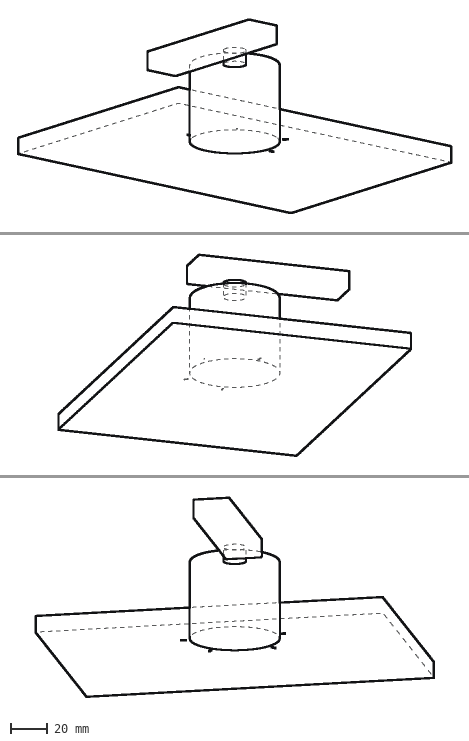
import cadquery as cq

plate_length = 196.85
plate_width = 139.7
plate_thickness = 9.525

dial_diameter = 50.0
dial_height = 44.45
stem_diameter = 12.7

handle_width = 20.64
handle_length = 88.6
handle_back_y = 24.7
handle_thickness = 11.11
overall_height = 73.04

edge_radius = 0.8

mark_angles = (-5, 50, 127, 190)
mark_inner_radius = 27.3
mark_length = 2.7
mark_width = 0.4
mark_depth = 0.25

dial_top = plate_thickness + dial_height
handle_bottom = overall_height - handle_thickness


def make_plate():
    """Plate standing on Z = 0, with its corners and top rim rounded."""
    plate = cq.Workplane("XY").box(plate_length, plate_width, plate_thickness, centered=(True, True, False))
    return plate.edges("|Z or >Z").fillet(edge_radius)


def make_dial():
    """Cylindrical dial with a rounded top rim."""
    dial = cq.Workplane("XY").workplane(offset=plate_thickness).circle(dial_diameter / 2).extrude(dial_height)
    return dial.faces(">Z").edges().fillet(edge_radius)


def make_stem():
    """Short post joining the dial to the handle."""
    stem_height = handle_bottom - dial_top
    return cq.Workplane("XY").workplane(offset=dial_top).circle(stem_diameter / 2).extrude(stem_height)


def make_handle():
    """Rectangular lever with every edge rounded."""
    handle_center_y = handle_back_y - handle_length / 2
    handle = cq.Workplane("XY").box(handle_width, handle_length, handle_thickness, centered=(True, True, False))
    return handle.edges().fillet(edge_radius).translate((0, handle_center_y, handle_bottom))


def make_mark(angle):
    """Cutter for one radial graduation mark at the given angle from +X."""
    mark = cq.Workplane("XY").box(mark_length, mark_width, mark_depth, centered=(False, True, False))
    mark = mark.translate((mark_inner_radius, 0, plate_thickness - mark_depth))
    return mark.rotate((0, 0, 0), (0, 0, 1), angle)


plate = make_plate()
for mark_angle in mark_angles:
    plate = plate.cut(make_mark(mark_angle))

result = plate.union(make_dial()).union(make_stem()).union(make_handle())